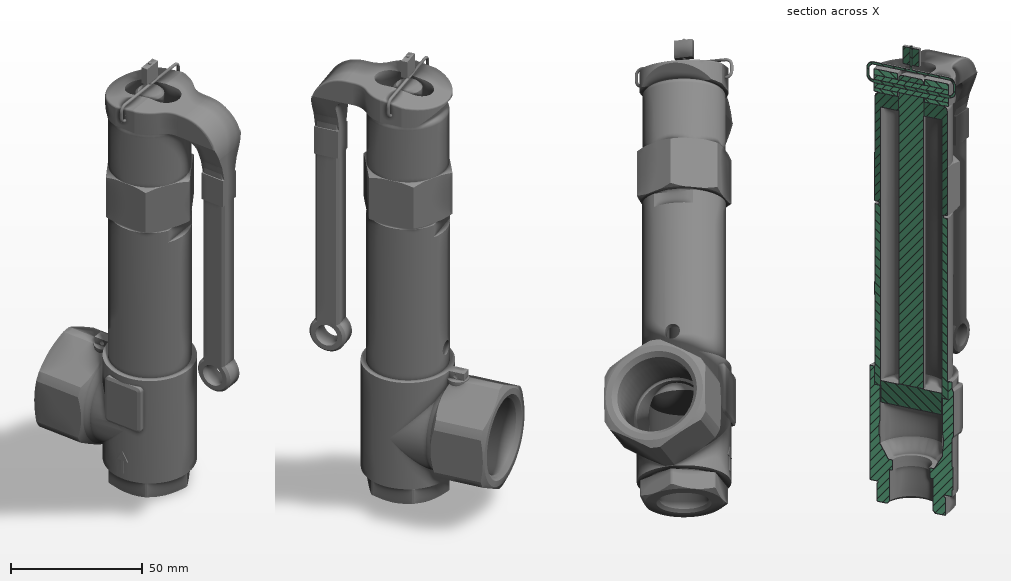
import cadquery as cq
import math


BODY_R = 18.0
BODY_TOP = 25.4
BODY_BOTTOM = -21.7
OUTLET_END = -40.0
OUTLET_AF = 40.0
OUTLET_CORNER_R = 22.05
OUTLET_HEX_INNER = -17.4
OUTLET_FACE_R = 19.3
OUTLET_NECK_END = -15.2
INLET_END = -30.0
INLET_AF = 30.0
INLET_CORNER_R = 17.1
INLET_HEX_TOP = -22.4
INLET_NECK_R = 14.5
CHAMBER_R = 13.5
CHAMBER_CONE_TOP = -6.0
CHAMBER_FLOOR = -11.6
CHAMBER_FLOOR_R = 10.0
SEAT_BORE_R = 8.0
INLET_THREAD_R = 18.63 / 2
INLET_THREAD_TOP = -16.0
INLET_MOUTH_R = 10.5
OUTLET_THREAD_R = 30.3 / 2
OUTLET_THREAD_DEPTH = 24.0
OUTLET_MOUTH_R = 16.9
OUTLET_BORE_R = 14.0
TUBE_R = 16.0
TUBE_BORE_R = 13.25
TUBE_BOTTOM = 18.0
TUBE_SHOULDER = 92.1
TUBE_NECK_R = 14.2
TUBE_FLAT_HALF = 14.0
TUBE_FLAT_BOTTOM = 86.7
VENT_R = 3.0
VENT_Z = 34.2
CAP_AF = 32.0
CAP_HEX_BOTTOM = 93.1
CAP_HEX_TOP = 113.0
CAP_R = 15.85
CAP_TOP = 138.0
CAP_TOP_FILLET = 2.0
CAP_ROOF = 6.0
LEVER_R = 17.0
LEVER_FLAT_HALF = 16.4
LEVER_THICK = 10.0
LEVER_ARM_HALF = 8.7
NOSE_TOP = 144.6
NOSE_BOTTOM = 143.6
LEVER_ROOT_FILLET = 8.4
HANDLE_X = 32.0
HANDLE_HALF_Y = 4.0
HANDLE_CHAMFER = 1.0
BEND_INNER_R = 5.0
BEND_X = HANDLE_X - LEVER_THICK / 2 - BEND_INNER_R
EYE_Z = 30.5
EYE_R = 7.5
EYE_HOLE_R = 4.5
SLOT_LEFT = -10.3
SLOT_RIGHT = 13.4
SLOT_RIGHT_BOTTOM = 10.8
SLOT_WIDTH = 11.6
SPINDLE_R = 5.5
SPINDLE_TOP = 147.0
DISC_R = 13.25
DISC_BOTTOM = 11.0
DISC_TOP = 20.0
PIN_R = 5.03 / 2
PIN_Z = 142.2
WIRE_R = 0.6
WIRE_TOP = 149.5
WIRE_BEND_R = 2.5
WIRE_HALF_Y = LEVER_FLAT_HALF + WIRE_BEND_R
SEAL_WIDTH = 7.2
SEAL_THICK = 2.6
SEAL_BOTTOM = 151.8
SEAL_TOP = 159.0
OVERALL_TOP = 159.68

LEVER_TOP = CAP_TOP + LEVER_THICK
SELECT_MARGIN = 0.1


def cylinder(radius, bottom, top):
    """Cylinder on the valve axis."""
    return cq.Workplane("XY").workplane(offset=bottom).circle(radius).extrude(top - bottom)


def outlet_cylinder(radius, start, end):
    """Cylinder on the outlet axis."""
    return cq.Workplane("YZ").workplane(offset=start).circle(radius).extrude(end - start)


def cross_cylinder(radius, x, z, half_length):
    """Cylinder along Y, centred on y = 0."""
    return cq.Workplane("XZ").center(x, z).circle(radius).extrude(half_length, both=True)


def across_corners(across_flats):
    return across_flats / math.cos(math.pi / 6)


def outlet_hexagon():
    length = OUTLET_HEX_INNER - OUTLET_END
    chamfer_width = OUTLET_CORNER_R - OUTLET_FACE_R
    face_chamfer_depth = 1.2
    back_chamfer_depth = 2.0
    prism = (cq.Workplane("YZ").workplane(offset=OUTLET_END)
             .transformed(rotate=(0, 0, 30))
             .polygon(6, across_corners(OUTLET_AF)).extrude(length))
    trim = outlet_cylinder(OUTLET_CORNER_R, OUTLET_END, OUTLET_HEX_INNER)
    trim = trim.faces("<X").chamfer(face_chamfer_depth, chamfer_width)
    trim = trim.faces(">X").chamfer(back_chamfer_depth, chamfer_width)
    return prism.intersect(trim)


def outlet_neck():
    """Cone from the hexagon down to a branch as wide as the body."""
    half_section = [
        (OUTLET_HEX_INNER, 0),
        (OUTLET_HEX_INNER, OUTLET_FACE_R),
        (OUTLET_NECK_END, BODY_R),
        (0, BODY_R),
        (0, 0),
    ]
    return cq.Workplane("XY").polyline(half_section).close().revolve(360, (0, 0, 0), (1, 0, 0))


def inlet_hexagon():
    chamfer_height = 1.3
    chamfer_width = 2.2
    prism = (cq.Workplane("XY").workplane(offset=INLET_END)
             .polygon(6, across_corners(INLET_AF)).extrude(INLET_HEX_TOP - INLET_END))
    trim = cylinder(INLET_CORNER_R, INLET_END, INLET_HEX_TOP)
    return prism.intersect(trim.faces("<Z").chamfer(chamfer_height, chamfer_width))


def seal_lug():
    """Round pad on the outlet hexagon carrying a drilled bar for a seal wire."""
    pad_x = -20.8
    pad_r = 4.3
    pad_bottom = 20.0
    pad_top = 22.4
    bar_left = -24.2
    bar_right = -15.5
    bar_width = 4.1
    hole_r = 1.0
    hole_z = 23.6
    pad = cylinder(pad_r, pad_bottom, pad_top).translate((pad_x, 0, 0))
    bar = (cq.Workplane("XY").workplane(offset=pad_bottom)
           .center((bar_left + bar_right) / 2, 0)
           .rect(bar_right - bar_left, bar_width).extrude(BODY_TOP - pad_bottom))
    return pad.union(bar).cut(cross_cylinder(hole_r, pad_x, hole_z, bar_width))


def nameplate():
    """Raised plate on the -Y side with bevelled edges."""
    width = 16.5
    bottom = 2.0
    top = 22.6
    face_y = -18.5
    depth = 4.0
    corner_r = 1.8
    bevel = 1.2
    height = top - bottom
    plate = (cq.Workplane("XZ", origin=(0, face_y, bottom + height / 2))
             .rect(width, height).extrude(-depth).edges("|Y").fillet(corner_r))
    return plate.faces("<Y").chamfer(bevel / 2, bevel)


def flow_arrow():
    """Slightly raised arrow pointing from the inlet up into the valve."""
    tail_z = -19.0
    neck_z = -13.2
    tip_z = -9.0
    shaft_half = 0.5
    head_half = 2.35
    height = 0.3
    root_depth = 1.0
    outline = [
        (-shaft_half, tail_z),
        (shaft_half, tail_z),
        (shaft_half, neck_z),
        (head_half, neck_z),
        (0, tip_z),
        (-head_half, neck_z),
        (-shaft_half, neck_z),
    ]
    return (cq.Workplane("XZ", origin=(0, -BODY_R - height, 0))
            .polyline(outline).close().extrude(-root_depth))


def flow_passage():
    """Inlet thread, seat bore and chamber, as one turned hollow."""
    mouth_depth = INLET_MOUTH_R - INLET_THREAD_R
    half_section = [
        (0, INLET_END),
        (INLET_MOUTH_R, INLET_END),
        (INLET_THREAD_R, INLET_END + mouth_depth),
        (INLET_THREAD_R, INLET_THREAD_TOP),
        (SEAT_BORE_R, INLET_THREAD_TOP),
        (SEAT_BORE_R, CHAMBER_FLOOR),
        (CHAMBER_FLOOR_R, CHAMBER_FLOOR),
        (CHAMBER_R, CHAMBER_CONE_TOP),
        (CHAMBER_R, TUBE_BOTTOM),
        (TUBE_R, TUBE_BOTTOM),
        (TUBE_R, BODY_TOP),
        (0, BODY_TOP),
    ]
    return cq.Workplane("XZ").polyline(half_section).close().revolve(360, (0, 0, 0), (0, 1, 0))


def outlet_passage():
    mouth_depth = OUTLET_MOUTH_R - OUTLET_THREAD_R
    thread_end = OUTLET_END + OUTLET_THREAD_DEPTH
    half_section = [
        (OUTLET_END, 0),
        (OUTLET_END, OUTLET_MOUTH_R),
        (OUTLET_END + mouth_depth, OUTLET_THREAD_R),
        (thread_end, OUTLET_THREAD_R),
        (thread_end, OUTLET_BORE_R),
        (0, OUTLET_BORE_R),
        (0, 0),
    ]
    return cq.Workplane("XY").polyline(half_section).close().revolve(360, (0, 0, 0), (1, 0, 0))


def make_body():
    barrel = cylinder(BODY_R, BODY_BOTTOM, BODY_TOP)
    inlet_neck = cylinder(INLET_NECK_R, INLET_HEX_TOP, BODY_BOTTOM)
    solid = barrel.union(outlet_neck()).union(outlet_hexagon())
    solid = solid.union(inlet_neck).union(inlet_hexagon())
    solid = solid.union(seal_lug()).union(nameplate()).union(flow_arrow())
    return solid.cut(flow_passage()).cut(outlet_passage())


def make_tube():
    tube = cylinder(TUBE_R, TUBE_BOTTOM, TUBE_SHOULDER)
    flat_height = TUBE_SHOULDER - TUBE_FLAT_BOTTOM
    for side in (-1, 1):
        flat = (cq.Workplane("XY").workplane(offset=TUBE_FLAT_BOTTOM)
                .center(side * (TUBE_FLAT_HALF + TUBE_R / 2), 0)
                .rect(TUBE_R, 2 * TUBE_R).extrude(flat_height))
        tube = tube.cut(flat)
    neck = cylinder(TUBE_NECK_R, TUBE_FLAT_BOTTOM, CAP_HEX_BOTTOM)
    neck = neck.intersect(cq.Workplane("XY").box(2 * TUBE_FLAT_HALF, 2 * TUBE_R, 2 * CAP_HEX_BOTTOM))
    tube = tube.union(neck).cut(cylinder(TUBE_BORE_R, TUBE_BOTTOM, CAP_HEX_BOTTOM))
    return tube.cut(outlet_cylinder(VENT_R, -TUBE_R, 0).translate((0, 0, VENT_Z)))


def make_cap():
    chamfer_height = 0.9
    chamfer_width = 2.0
    corner_dia = across_corners(CAP_AF)
    prism = (cq.Workplane("XY").workplane(offset=CAP_HEX_BOTTOM)
             .polygon(6, corner_dia).extrude(CAP_HEX_TOP - CAP_HEX_BOTTOM))
    trim = cylinder(corner_dia / 2, CAP_HEX_BOTTOM, CAP_HEX_TOP)
    trim = trim.faces("<Z").chamfer(chamfer_height, chamfer_width)
    trim = trim.faces(">Z").chamfer(chamfer_height, chamfer_width)
    dome = cylinder(CAP_R, CAP_HEX_BOTTOM, CAP_TOP).faces(">Z").edges().fillet(CAP_TOP_FILLET)
    dome = dome.intersect(cylinder(CAP_R, CAP_HEX_TOP, CAP_TOP))
    cap = prism.intersect(trim).union(dome)
    cap = cap.cut(cylinder(TUBE_BORE_R, CAP_HEX_BOTTOM, CAP_TOP - CAP_ROOF))
    return cap.cut(cylinder(SPINDLE_R, CAP_TOP - CAP_ROOF, CAP_TOP))


def lever_side_profile():
    """Bent strip as seen along Y, thick enough in Y to be trimmed to width."""
    bend_outer_r = BEND_INNER_R + LEVER_THICK
    handle_in = HANDLE_X - LEVER_THICK / 2
    handle_out = HANDLE_X + LEVER_THICK / 2
    bend_z = CAP_TOP - BEND_INNER_R
    slope_end_x = 3.5
    heel_x = -9.7
    diagonal = math.sqrt(0.5)
    return (cq.Workplane("XZ")
            .moveTo(-LEVER_R, NOSE_TOP)
            .lineTo(slope_end_x, LEVER_TOP)
            .lineTo(BEND_X, LEVER_TOP)
            .threePointArc((BEND_X + bend_outer_r * diagonal, bend_z + bend_outer_r * diagonal),
                           (handle_out, bend_z))
            .lineTo(handle_out, EYE_Z)
            .lineTo(handle_in, EYE_Z)
            .lineTo(handle_in, bend_z)
            .threePointArc((BEND_X + BEND_INNER_R * diagonal, bend_z + BEND_INNER_R * diagonal),
                           (BEND_X, CAP_TOP))
            .lineTo(heel_x, CAP_TOP)
            .lineTo(-LEVER_R, NOSE_BOTTOM)
            .close().extrude(LEVER_R, both=True))


def lever_head_plan():
    """Round head flowing through concave fillets into the arm."""
    fillet_y = LEVER_ARM_HALF + LEVER_ROOT_FILLET
    fillet_x = math.sqrt((LEVER_R + LEVER_ROOT_FILLET) ** 2 - fillet_y ** 2)
    scale = LEVER_R / (LEVER_R + LEVER_ROOT_FILLET)
    touch_x = fillet_x * scale
    touch_y = fillet_y * scale
    middle_angle = (math.atan2(fillet_y, fillet_x) + math.pi / 2) / 2
    middle_x = fillet_x - LEVER_ROOT_FILLET * math.cos(middle_angle)
    middle_y = fillet_y - LEVER_ROOT_FILLET * math.sin(middle_angle)
    arm_end = HANDLE_X + LEVER_THICK
    plan = (cq.Workplane("XY").workplane(offset=CAP_TOP)
            .moveTo(touch_x, touch_y)
            .threePointArc((-LEVER_R, 0), (touch_x, -touch_y))
            .threePointArc((middle_x, -middle_y), (fillet_x, -LEVER_ARM_HALF))
            .lineTo(arm_end, -LEVER_ARM_HALF)
            .lineTo(arm_end, LEVER_ARM_HALF)
            .lineTo(fillet_x, LEVER_ARM_HALF)
            .threePointArc((middle_x, middle_y), (touch_x, touch_y))
            .close().extrude(LEVER_THICK))
    flats = (cq.Workplane("XY").workplane(offset=CAP_TOP)
             .rect(2 * arm_end, 2 * LEVER_FLAT_HALF).extrude(LEVER_THICK))
    return plan.intersect(flats)


def lever_handle_width():
    """Width of the handle along its height: tapered below the bend, then straight."""
    taper_bottom = 128.0
    taper_half = 4.8
    straight_top = 124.5
    half = [
        (HANDLE_HALF_Y, EYE_Z),
        (HANDLE_HALF_Y, straight_top),
        (taper_half, taper_bottom),
        (LEVER_ARM_HALF, CAP_TOP),
    ]
    mirrored = [(-y, z) for y, z in reversed(half)]
    return (cq.Workplane("YZ").workplane(offset=LEVER_R)
            .polyline(half + mirrored).close().extrude(HANDLE_X))


def lever_slot():
    """Spindle slot, upright at the nose end and sloping outward at the arm end."""
    outline = (cq.Workplane("XY").workplane(offset=CAP_TOP)
               .center((SLOT_LEFT + SLOT_RIGHT_BOTTOM) / 2, 0)
               .slot2D(SLOT_RIGHT_BOTTOM - SLOT_LEFT, SLOT_WIDTH))
    lean = cq.Vector(SLOT_RIGHT - SLOT_RIGHT_BOTTOM, 0, LEVER_THICK)
    leaning = cq.Solid.extrudeLinear(outline.val(), [], lean)
    return outline.extrude(LEVER_THICK).union(cq.Workplane(leaning))


def make_lever():
    edge_fillet = 0.7
    eye_chamfer = 1.0
    badge_bottom = 110.0
    badge_top = 122.0
    badge_rise = 0.4
    badge_height = badge_top - badge_bottom

    head = lever_side_profile().intersect(lever_head_plan())
    upper_edges = cq.selectors.BoxSelector(
        (-LEVER_R - SELECT_MARGIN, -LEVER_R, (NOSE_TOP + NOSE_BOTTOM) / 2),
        (BEND_X, LEVER_R, LEVER_TOP + SELECT_MARGIN))
    head = head.edges(upper_edges).edges("not |Y").fillet(edge_fillet)
    handle = lever_side_profile().intersect(lever_handle_width())
    straight_edges = cq.selectors.BoxSelector(
        (0, -HANDLE_HALF_Y - SELECT_MARGIN, 0),
        (2 * HANDLE_X, HANDLE_HALF_Y + SELECT_MARGIN, LEVER_TOP))
    handle = handle.edges("|Z").edges(straight_edges)
    handle = handle.chamfer(HANDLE_CHAMFER)
    badge = (cq.Workplane("XY").workplane(offset=badge_bottom).center(HANDLE_X, 0)
             .rect(LEVER_THICK, 2 * (HANDLE_HALF_Y + badge_rise)).extrude(badge_height))
    eye = cross_cylinder(EYE_R, HANDLE_X, EYE_Z, HANDLE_HALF_Y)
    eye = eye.faces("<Y or >Y").edges().chamfer(eye_chamfer)
    eye_hole = cross_cylinder(EYE_HOLE_R, HANDLE_X, EYE_Z, LEVER_R)
    lever = head.union(handle).union(badge).union(eye)
    return lever.cut(eye_hole).cut(lever_slot()).cut(cross_cylinder(PIN_R, 0, PIN_Z, LEVER_R))


def make_spindle():
    tip_chamfer = 1.0
    spindle = cylinder(SPINDLE_R, DISC_TOP, SPINDLE_TOP).faces(">Z").chamfer(tip_chamfer)
    return spindle.cut(cross_cylinder(PIN_R, 0, PIN_Z, LEVER_R))


def make_disc():
    return cylinder(DISC_R, DISC_BOTTOM, DISC_TOP)


def make_pin():
    pin = cross_cylinder(PIN_R, 0, PIN_Z, LEVER_FLAT_HALF)
    return pin.cut(cross_cylinder(WIRE_R, 0, PIN_Z, LEVER_FLAT_HALF))


def make_wire():
    """Closed loop through the pin bore and over the lever, with a tail up through the seal."""
    straight_y = WIRE_HALF_Y - WIRE_BEND_R
    bend_top = WIRE_TOP - WIRE_BEND_R
    bend_bottom = PIN_Z + WIRE_BEND_R
    path = (cq.Workplane("YZ")
            .moveTo(0, WIRE_TOP)
            .lineTo(straight_y, WIRE_TOP)
            .radiusArc((WIRE_HALF_Y, bend_top), WIRE_BEND_R)
            .lineTo(WIRE_HALF_Y, bend_bottom)
            .radiusArc((straight_y, PIN_Z), WIRE_BEND_R)
            .lineTo(-straight_y, PIN_Z)
            .radiusArc((-WIRE_HALF_Y, bend_bottom), WIRE_BEND_R)
            .lineTo(-WIRE_HALF_Y, bend_top)
            .radiusArc((-straight_y, WIRE_TOP), WIRE_BEND_R)
            .close())
    section = cq.Workplane("XZ", origin=(0, 0, WIRE_TOP)).circle(WIRE_R)
    loop = section.sweep(path)
    return loop.union(cylinder(WIRE_R, WIRE_TOP, OVERALL_TOP))


def make_seal():
    seal = (cq.Workplane("XY").workplane(offset=SEAL_BOTTOM)
            .rect(SEAL_THICK, SEAL_WIDTH).extrude(SEAL_TOP - SEAL_BOTTOM))
    return seal.cut(cylinder(WIRE_R, SEAL_BOTTOM, SEAL_TOP))


body = make_body()
tube = make_tube()
cap = make_cap()
lever = make_lever()
spindle = make_spindle()
disc = make_disc()
pin = make_pin()
wire = make_wire()
seal = make_seal()

result = cq.Compound.makeCompound([
    body.val(), tube.val(), cap.val(), lever.val(), spindle.val(),
    disc.val(), pin.val(), wire.val(), seal.val(),
])